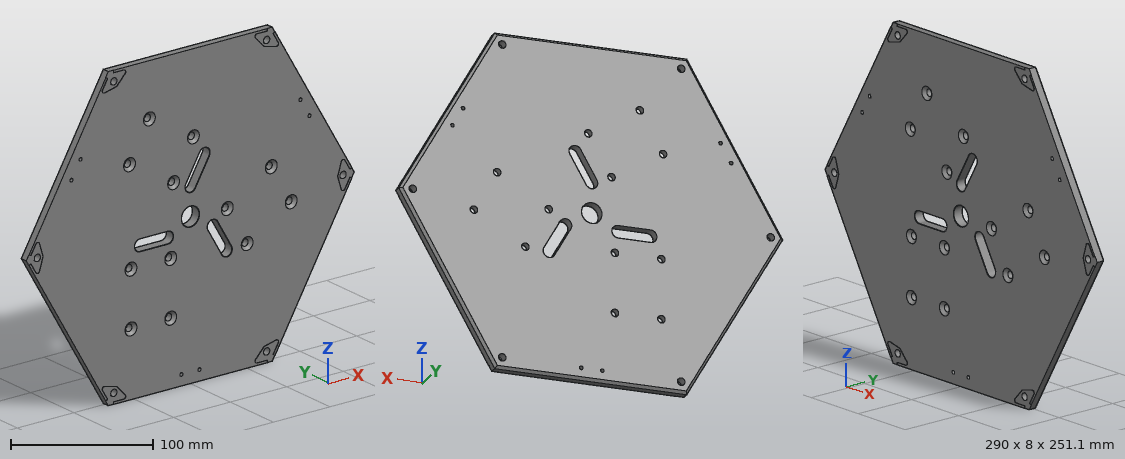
import cadquery as cq
import math

plate_sides = 6
across_corners = 290.0
edge_lean = math.radians(30)
thickness = 8.0
front_y = -thickness / 2
back_chamfer = 2.0

center_hole_diameter = 15.5

mouth_chamfer = 0.3
mouth_angle = 45.0

pattern_repeats = 3

slot_center = (-32.2, -11.3)
slot_length = 34.0
slot_width = 9.3

screw_group_center = (-35.0, -50.0)
screw_spacing_x = 35.0
screw_spacing_z = 45.0
screw_hole_diameter = 5.5
countersink_diameter = 10.5
countersink_angle = 90.0

pin_spacing = 16.0
pin_z = -117.0
pin_diameter = 2.5

corner_hole_radius = 135.0
corner_hole_diameter = 5.5

recess_depth = 0.3
rim_width = 1.88
rim_opening = 4.5
recess_inner_radius = 130.2
recess_inner_angle = 17.0
recess_tip_fillet = 1.7


def repeat_around(shape, count):
    """Return copies of a shape spread evenly about the plate's Y axis."""
    copies = cq.Workplane("XZ")
    for i in range(count):
        copies = copies.add(shape.rotate((0, 0, 0), (0, 1, 0), i * 360 / count).vals())
    return copies.combine()


def front_plane():
    """Workplane on the front face: local x is X, local y is Z, normal is -Y."""
    return cq.Workplane("XZ", origin=(0, front_y, 0))


def make_plate():
    plate = front_plane().polygon(plate_sides, across_corners).extrude(-thickness)
    return plate.faces(">Y").chamfer(back_chamfer)


def make_corner_recess():
    """Kite-shaped recess with the rim opening, at the -X corner."""
    corner_x = -across_corners / 2
    edge_slope = math.tan(edge_lean)
    inner_slope = math.tan(math.radians(recess_inner_angle))
    rim_corner_x = corner_x + rim_width / math.cos(edge_lean)
    tip_z = (-recess_inner_radius - rim_corner_x) / (edge_slope + inner_slope)
    tip_x = rim_corner_x + tip_z * edge_slope
    kite = (
        front_plane()
        .polyline([(rim_corner_x, 0), (tip_x, tip_z), (-recess_inner_radius, 0), (tip_x, -tip_z)])
        .close()
        .extrude(-recess_depth)
    )
    kite = kite.edges("|Y").edges(">Z or <Z").fillet(recess_tip_fillet)

    outer_x = corner_x + rim_opening * math.sin(edge_lean)
    outer_z = rim_opening * math.cos(edge_lean)
    inner_x = outer_x + rim_width * math.cos(edge_lean)
    inner_z = outer_z - rim_width * math.sin(edge_lean)
    opening = (
        front_plane()
        .polyline([(corner_x, 0), (outer_x, outer_z), (inner_x, inner_z),
                   (inner_x, -inner_z), (outer_x, -outer_z)])
        .close()
        .extrude(-recess_depth)
    )
    return kite.union(opening)


def make_corner_hole():
    place = front_plane().center(-corner_hole_radius, 0)
    return place.circle(corner_hole_diameter / 2).extrude(-thickness)


def make_center_hole():
    hole_radius = center_hole_diameter / 2
    hole = front_plane().circle(hole_radius).extrude(-thickness)
    mouth = front_plane().circle(hole_radius + mouth_chamfer).extrude(-mouth_chamfer, taper=mouth_angle)
    return hole.union(mouth)


def make_slot():
    place = front_plane().center(*slot_center)
    mouth_growth = 2 * mouth_chamfer
    slot = place.slot2D(slot_length, slot_width).extrude(-thickness)
    mouth = (
        place.slot2D(slot_length + mouth_growth, slot_width + mouth_growth)
        .extrude(-mouth_chamfer, taper=mouth_angle)
    )
    return slot.union(mouth)


def make_screw_holes():
    """Four countersunk holes on a rectangle."""
    half_angle = countersink_angle / 2
    sink_depth = (countersink_diameter - screw_hole_diameter) / 2 / math.tan(math.radians(half_angle))
    grid = front_plane().center(*screw_group_center).rarray(screw_spacing_x, screw_spacing_z, 2, 2)
    holes = grid.circle(screw_hole_diameter / 2).extrude(-thickness)
    sinks = grid.circle(countersink_diameter / 2).extrude(-sink_depth, taper=half_angle)
    return holes.union(sinks)


def make_pin_holes():
    return (
        front_plane().center(0, pin_z).rarray(pin_spacing, 3, 2, 1)
        .circle(pin_diameter / 2).extrude(-thickness)
    )


plate = make_plate()
plate = plate.cut(make_center_hole())
for cutter in (make_slot(), make_screw_holes(), make_pin_holes()):
    plate = plate.cut(repeat_around(cutter, pattern_repeats))
for cutter in (make_corner_recess(), make_corner_hole()):
    plate = plate.cut(repeat_around(cutter, plate_sides))

result = plate.solids()